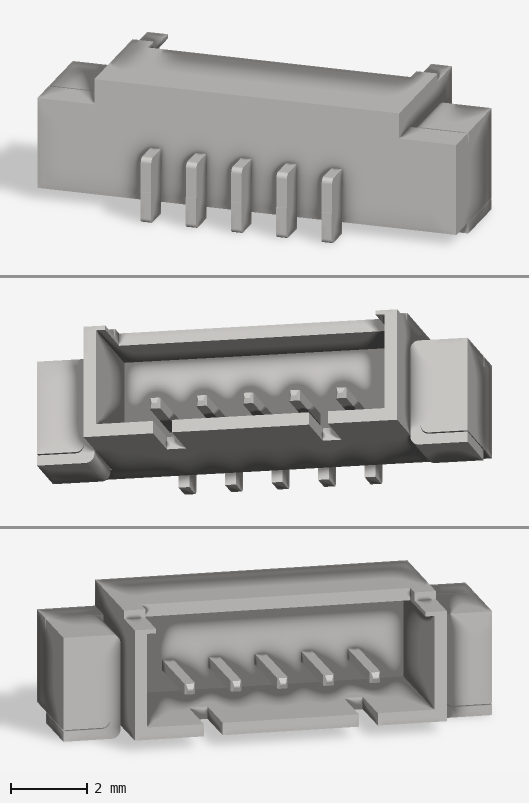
import cadquery as cq


LENGTH = 11.58
HOUSING_DEPTH = 4.45
HEIGHT = 3.53
UNDERSIDE_Z = 0.31
BODY_HALF_WIDTH = 4.22
SHOULDER_TOP_Z = 2.83
SHOULDER_BACK_Y = 2.99

SIDE_WALL = 0.34
FLOOR_WALL = 0.34
FRONT_WALL = 1.0
ROOF_WALL = 0.34
ROOF_STEP_Y = 3.22
ROOF_STEP_DROP = 0.22
ROOF_NOTCH_Y = 2.75
ROOF_NOTCH_HALF_WIDTH = 3.64
FLOOR_SLOT_INNER = 1.84
FLOOR_SLOT_OUTER = 2.35

CONTACT_COUNT = 5
CONTACT_PITCH = 1.25
CONTACT_WIDTH = 0.29
PIN_UNDERSIDE_Z = 1.23
PIN_END_Y = 3.61
PIN_TIP_LENGTH = 0.13
PIN_TIP_INSET = 0.07
LEG_TOP_Z = 1.81
LEG_STEP_Z = 0.87
LEG_STEP = 0.03
LEG_REACH = 0.9
LEG_GAP = 0.03
LEG_TOP_RADIUS = 0.14
LEG_FOOT_RADIUS = 0.14

CLIP_THICKNESS = 0.28
CLIP_DEPTH = 1.97
CLIP_INNER_X = 4.25
CLIP_OUTER_RADIUS = 0.23
CLIP_INNER_RADIUS = 0.22
CLIP_SLOT_CLEARANCE = 0.07

HALF_LENGTH = LENGTH / 2
CLIP_FRONT_Y = SHOULDER_BACK_Y - CLIP_DEPTH
CLIP_WEB_OUTER_X = CLIP_INNER_X + CLIP_THICKNESS
CLIP_SLOT_FRONT_Y = CLIP_FRONT_Y - CLIP_SLOT_CLEARANCE
CLIP_SEAT_Z = SHOULDER_TOP_Z - CLIP_THICKNESS
SIDES = (-1, 1)


def block(x_range, y_range, z_range):
    """Axis-aligned box between two limits on each axis."""
    (x0, x1), (y0, y1), (z0, z1) = x_range, y_range, z_range
    return cq.Workplane("XY").box(x1 - x0, y1 - y0, z1 - z0, centered=False).translate((x0, y0, z0))


def on_side(shape, side):
    """Keep a shape built at +X, or mirror it to -X."""
    if side > 0:
        return shape
    return shape.mirror("YZ")


def make_shoulder():
    """Shoulder at +X, cut to the inside shape of the clip that wraps around its inner edge."""
    shoulder = block(
        (BODY_HALF_WIDTH, HALF_LENGTH), (0, SHOULDER_BACK_Y), (UNDERSIDE_Z, SHOULDER_TOP_Z)
    )
    slot = block(
        (BODY_HALF_WIDTH, HALF_LENGTH), (CLIP_SLOT_FRONT_Y, SHOULDER_BACK_Y), (UNDERSIDE_Z, SHOULDER_TOP_Z)
    )
    core = block(
        (CLIP_WEB_OUTER_X, HALF_LENGTH), (CLIP_SLOT_FRONT_Y, SHOULDER_BACK_Y), (UNDERSIDE_Z, CLIP_SEAT_Z)
    )
    core = core.edges("|Y and <X").fillet(CLIP_INNER_RADIUS)
    return shoulder.cut(slot).union(core)


def make_shell():
    """Hollow box, open at +Y, with a notched roof and a slotted floor."""
    body = (-BODY_HALF_WIDTH, BODY_HALF_WIDTH)
    shell = block(body, (0, HOUSING_DEPTH), (UNDERSIDE_Z, HEIGHT))
    shell = shell.cut(block(body, (ROOF_STEP_Y, HOUSING_DEPTH), (HEIGHT - ROOF_STEP_DROP, HEIGHT)))

    cavity_half_width = BODY_HALF_WIDTH - SIDE_WALL
    cavity_floor_z = UNDERSIDE_Z + FLOOR_WALL
    cavity = block(
        (-cavity_half_width, cavity_half_width),
        (FRONT_WALL, HOUSING_DEPTH),
        (cavity_floor_z, HEIGHT - ROOF_WALL),
    )
    roof_notch = block(
        (-ROOF_NOTCH_HALF_WIDTH, ROOF_NOTCH_HALF_WIDTH),
        (ROOF_NOTCH_Y, HOUSING_DEPTH),
        (cavity_floor_z, HEIGHT),
    )
    floor_slot = block(
        (FLOOR_SLOT_INNER, FLOOR_SLOT_OUTER),
        (ROOF_NOTCH_Y, HOUSING_DEPTH),
        (UNDERSIDE_Z, cavity_floor_z),
    )
    shell = shell.cut(cavity).cut(roof_notch)
    for side in SIDES:
        shell = shell.cut(on_side(floor_slot, side))
    return shell


def make_contact(x):
    """Square pin through the front wall, with a flat upright leg on its outer end."""
    width = (x - CONTACT_WIDTH / 2, x + CONTACT_WIDTH / 2)
    pin = block(width, (-LEG_GAP, PIN_END_Y), (PIN_UNDERSIDE_Z, PIN_UNDERSIDE_Z + CONTACT_WIDTH))
    pin = pin.faces(">Y").chamfer(PIN_TIP_LENGTH, PIN_TIP_INSET)

    upper_leg = block(width, (LEG_STEP - LEG_REACH, -LEG_GAP), (LEG_STEP_Z, LEG_TOP_Z))
    upper_leg = upper_leg.edges("|X and <Y and >Z").fillet(LEG_TOP_RADIUS)
    lower_leg = block(width, (-LEG_REACH, -LEG_GAP), (0, LEG_STEP_Z))
    lower_leg = lower_leg.edges("|X and <Y and <Z").fillet(LEG_FOOT_RADIUS)
    return pin.union(upper_leg).union(lower_leg)


def make_housing():
    """Shell, both shoulders and the row of contacts as one solid."""
    housing = make_shell()
    for side in SIDES:
        housing = housing.union(on_side(make_shoulder(), side))
    for i in range(CONTACT_COUNT):
        housing = housing.union(make_contact((i - (CONTACT_COUNT - 1) / 2) * CONTACT_PITCH))
    return housing


def make_clip(side):
    """C-shaped solder clip, open outward, with its lower plate on the board."""
    depth = (CLIP_FRONT_Y, SHOULDER_BACK_Y)
    clip = block((CLIP_INNER_X, HALF_LENGTH), depth, (0, SHOULDER_TOP_Z))
    clip = clip.edges("|Y and <X").fillet(CLIP_OUTER_RADIUS)
    opening = block((CLIP_WEB_OUTER_X, HALF_LENGTH), depth, (CLIP_THICKNESS, CLIP_SEAT_Z))
    opening = opening.edges("|Y and <X").fillet(CLIP_INNER_RADIUS)
    return on_side(clip.cut(opening), side)


housing = make_housing()
clips = [make_clip(side) for side in SIDES]

result = cq.Compound.makeCompound([housing.solids().val(), *[clip.solids().val() for clip in clips]])